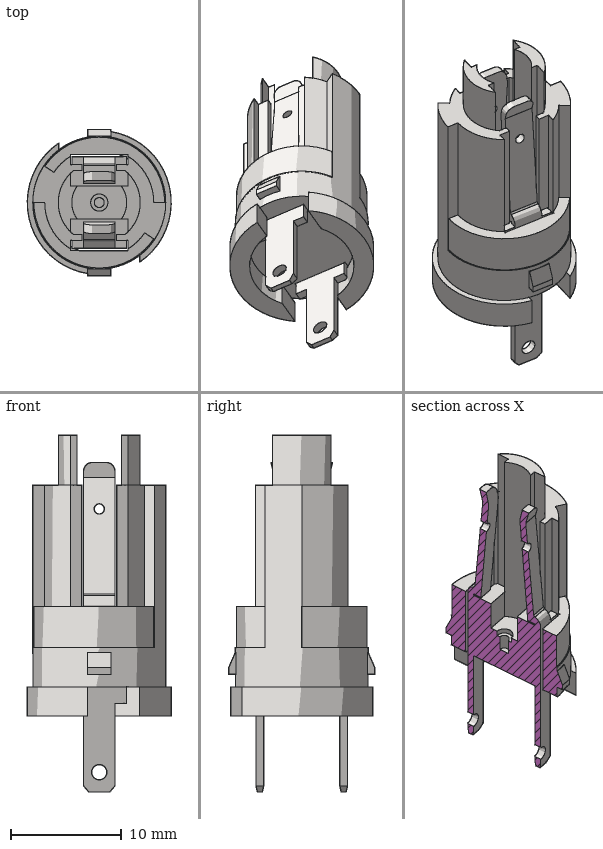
import cadquery as cq
import math


body_radius = 6.0
body_top = 20.85
flange_radius = 6.5
flange_height = 2.64
flange_bore_radius = 4.7
flange_gap_start_x = -1.05
flange_gap_end_x = 3.65

sector_start_angle = 180.0
sector_end_angle = 326.3
ledge_radius = 5.9
ledge_bottom = 6.2
ledge_top = 9.9
core_radius = 4.92
sector_cut_margin = 1.0

tube_radius = 3.7
tube_top = 25.36
bore_radius = 2.48
bore_floor = 7.0
pocket_half_width = 2.585
pocket_inner_y = 1.48
pocket_outer_y = 2.88
neck_half_width = 1.57
slot_inner_y = 3.42
slot_outer_y = 4.33
counterbore_diameter = 1.55
counterbore_depth = 0.5
pin_hole_diameter = 0.9
pin_hole_depth = 2.0

latch_width = 2.08
latch_reach = 6.6
latch_bottom = 3.78
latch_lip_height = 0.6
latch_top = 5.76
latch_root_y = 5.5

blade_width = 2.85
blade_thickness = 0.72
blade_inner_y = slot_inner_y
blade_outer_y = blade_inner_y + blade_thickness
blade_bottom = -6.84
blade_point_height = 0.56
blade_point_inset = 0.47
blade_point_taper = 0.13
blade_hole_diameter = 1.35
blade_hole_z = -5.05
shoulder_width = 4.95
shoulder_bottom = 1.15
shoulder_top = ledge_top
bend_bottom = 10.0
bend_radius = 0.9
bend_end_y = 3.47
spring_root_y = 3.34
spring_root_z = 11.04
spring_neck_y = 2.45
spring_neck_z = 21.53
spring_tip_y = 2.79
spring_tip_z = 22.9
spring_tip_thickness = 0.78
spring_corner_radius = 0.8
spring_hole_diameter = 0.9
spring_hole_z = 18.7


def with_opposite(shape):
    """Return the shape together with its copy turned half a turn about Z."""
    return shape.union(shape.rotate((0, 0, 0), (0, 0, 1), 180))


def cylinder(radius, bottom, top):
    return cq.Workplane("XY").workplane(offset=bottom).circle(radius).extrude(top - bottom)


def block(x_range, y_range, z_range):
    """Return a box given by its lower and upper limit along each axis."""
    x0, x1 = x_range
    y0, y1 = y_range
    z0, z1 = z_range
    return cq.Workplane("XY").box(x1 - x0, y1 - y0, z1 - z0, centered=False).translate((x0, y0, z0))


def centred_block(half_width, y_inner, y_outer, z_range):
    """Return a box centred on X, between two distances from the axis on the -Y side."""
    return block((-half_width, half_width), (-y_outer, -y_inner), z_range)


def polar_point(radius, angle):
    return radius * math.cos(math.radians(angle)), radius * math.sin(math.radians(angle))


def sector_ring(inner_radius, bottom, top):
    """Return the ring sector outside inner_radius that lies in the recessed angle."""
    outer_radius = body_radius + sector_cut_margin
    middle_angle = (sector_start_angle + sector_end_angle) / 2
    return (
        cq.Workplane("XY")
        .workplane(offset=bottom)
        .moveTo(*polar_point(inner_radius, sector_start_angle))
        .lineTo(*polar_point(outer_radius, sector_start_angle))
        .threePointArc(polar_point(outer_radius, middle_angle), polar_point(outer_radius, sector_end_angle))
        .lineTo(*polar_point(inner_radius, sector_end_angle))
        .threePointArc(polar_point(inner_radius, middle_angle), polar_point(inner_radius, sector_start_angle))
        .close()
        .extrude(top - bottom)
    )


def make_flange():
    flange = cylinder(flange_radius, 0, flange_height)
    flange = flange.cut(cylinder(flange_bore_radius, 0, flange_height))
    gap = block((flange_gap_start_x, flange_gap_end_x), (-flange_radius, 0), (0, flange_height))
    return flange.cut(with_opposite(gap))


def make_body():
    body = cylinder(body_radius, flange_height, body_top)
    sector = sector_ring(ledge_radius, ledge_bottom, ledge_top)
    sector = sector.union(sector_ring(core_radius, ledge_top, body_top))
    body = body.cut(with_opposite(sector))
    return body.union(cylinder(tube_radius, body_top, tube_top))


def make_terminal_openings():
    """Return the blade slot, neck, inner pocket and tube opening on the -Y side."""
    blade_slot = centred_block(pocket_half_width, slot_inner_y, slot_outer_y, (flange_height, tube_top))
    wall_opening = centred_block(pocket_half_width, slot_inner_y, body_radius, (ledge_top, tube_top))
    neck = centred_block(neck_half_width, pocket_outer_y, slot_inner_y, (ledge_top, tube_top))
    pocket = centred_block(pocket_half_width, pocket_inner_y, pocket_outer_y, (ledge_top, tube_top))
    pocket = pocket.intersect(cylinder(tube_radius, ledge_top, tube_top))
    tube_side = centred_block(pocket_half_width, pocket_inner_y, tube_radius, (body_top, tube_top))
    return blade_slot.union(wall_opening).union(neck).union(pocket).union(tube_side)


def make_central_bore():
    strip = centred_block(bore_radius, -pocket_inner_y, pocket_inner_y, (bore_floor, tube_top))
    bore = cylinder(bore_radius, bore_floor, tube_top).intersect(strip)
    counterbore = cylinder(counterbore_diameter / 2, bore_floor - counterbore_depth, bore_floor)
    pin_hole = cylinder(pin_hole_diameter / 2, bore_floor - pin_hole_depth, bore_floor)
    return bore.union(counterbore).union(pin_hole)


def make_latch():
    return (
        cq.Workplane("YZ")
        .polyline([
            (-latch_root_y, latch_bottom),
            (-latch_reach, latch_bottom),
            (-latch_reach, latch_bottom + latch_lip_height),
            (-body_radius, latch_top),
            (-latch_root_y, latch_top),
        ])
        .close()
        .extrude(latch_width / 2, both=True)
    )


def hole_along_y(diameter, z):
    return cq.Workplane("XZ").center(0, z).circle(diameter / 2).extrude(body_radius)


def make_blade():
    """Return the flat tail of the terminal, tapered to a point at the bottom, with shoulders."""
    point_top = blade_bottom + blade_point_height
    tail = centred_block(blade_width / 2, blade_inner_y, blade_outer_y, (point_top, bend_bottom))
    point = (
        cq.Workplane("XY")
        .workplane(offset=point_top)
        .center(0, -(blade_inner_y + blade_outer_y) / 2)
        .rect(blade_width, blade_thickness)
        .workplane(offset=-blade_point_height)
        .rect(blade_width - 2 * blade_point_inset, blade_thickness - 2 * blade_point_taper)
        .loft(ruled=True)
    )
    shoulders = centred_block(
        shoulder_width / 2, blade_inner_y, blade_outer_y, (shoulder_bottom, shoulder_top)
    )
    blade = tail.union(point).union(shoulders)
    return blade.cut(hole_along_y(blade_hole_diameter, blade_hole_z))


def make_spring():
    """Return the contact spring: rounded jog inward, leaning strip, tip bent back outward."""
    bend_centre_y = blade_outer_y - bend_radius
    bend_end_angle = math.acos((bend_end_y - bend_centre_y) / bend_radius)
    bend_mid_y = bend_centre_y + bend_radius * math.cos(bend_end_angle / 2)
    bend_mid_z = bend_bottom + bend_radius * math.sin(bend_end_angle / 2)
    bend_end_z = bend_bottom + bend_radius * math.sin(bend_end_angle)
    spring = (
        cq.Workplane("YZ")
        .moveTo(-blade_inner_y, bend_bottom)
        .lineTo(-blade_outer_y, bend_bottom)
        .threePointArc((-bend_mid_y, bend_mid_z), (-bend_end_y, bend_end_z))
        .lineTo(-spring_root_y, spring_root_z)
        .lineTo(-spring_neck_y, spring_neck_z)
        .lineTo(-spring_tip_y, spring_tip_z)
        .lineTo(-(spring_tip_y - spring_tip_thickness), spring_tip_z)
        .lineTo(-(spring_neck_y - blade_thickness), spring_neck_z)
        .lineTo(-(spring_root_y - blade_thickness), bend_bottom)
        .close()
        .extrude(blade_width / 2, both=True)
    )
    outline = (
        cq.Workplane("XZ")
        .rect(blade_width, 2 * spring_tip_z)
        .extrude(body_radius)
        .edges("|Y and >Z")
        .fillet(spring_corner_radius)
    )
    return spring.intersect(outline).cut(hole_along_y(spring_hole_diameter, spring_hole_z))


housing = make_body().union(make_flange()).union(with_opposite(make_latch()))
housing = housing.cut(with_opposite(make_terminal_openings())).cut(make_central_bore())
terminal = make_blade().union(make_spring())
result = housing.union(with_opposite(terminal))